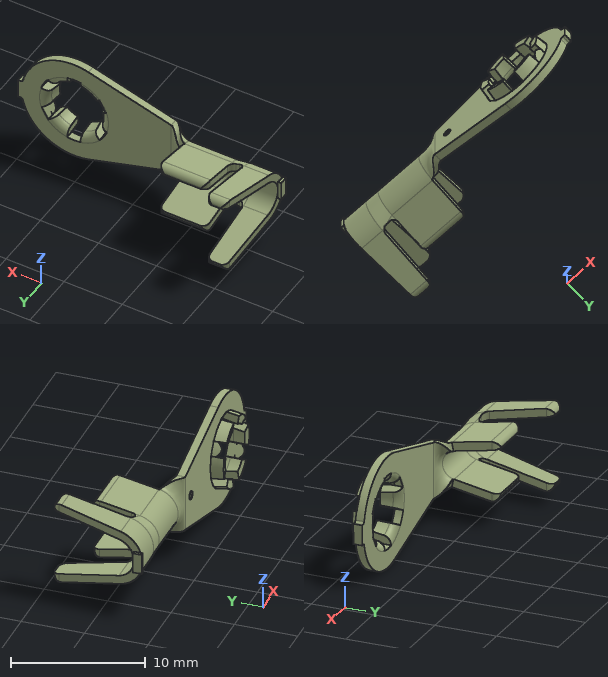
import cadquery as cq
import math


SHEET = 0.7
LENGTH = 22.67
INSULATION_START = 0.23
INSULATION_END = 2.55
BARREL_START = 3.76
BARREL_END = 7.87
PLATE_START = 9.5

RING_DIAMETER = 9.0
RING_RADIUS = RING_DIAMETER / 2
RING_X = 17.86
PLATE_START_HALF_WIDTH = 2.3
CARRIER_HALF_WIDTH = 0.82
CARRIER_ROOT_FILLET = 0.2
DIMPLE_X = 10.75
DIMPLE_RADIUS = 0.32
DIMPLE_DEPTH = 0.05

HOLE_RADIUS = 2.97
GAP_PAIRS = 3
TAB_DROP = 0.97
TAB_LEAN = math.radians(9)
TAB_GAP = 1.13
FULL_GAP_REACH = 3.4
SHORT_GAP_REACH = 2.85
SHORT_GAP_INDEX = 2

INSULATION_RADIUS = 2.31
INSULATION_LEAN = math.radians(12.5)
INSULATION_HEIGHT = 7.35
INSULATION_TAPER = 0.09
BARREL_RADIUS = 1.85
BARREL_LEAN = math.radians(10.7)
BARREL_HEIGHT = 5.28
WING_CORNER_RADIUS = 0.57
WING_TIP_RADIUS = 0.57

NECK_HEIGHT = 1.72
NECK_CORNER_RADIUS = 0.45

TRANSITION_STEPS = 6
TRANSITION_BEND = math.radians(78)


def crimp_section(x, radius, lean, height):
    """Open U of sheet thickness whose wing tips are rounded on the outside."""
    along = cq.Vector(math.cos(lean), math.sin(lean))
    outward = cq.Vector(-math.sin(lean), math.cos(lean))
    center = cq.Vector(radius, 0)
    outer_bend = center + outward * radius
    inner_bend = center + outward * (radius - SHEET)
    wing = (height - inner_bend.x) / along.x
    inner_tip = inner_bend + along * wing
    round_start = outer_bend + along * (wing - WING_TIP_RADIUS)
    round_center = round_start - outward * WING_TIP_RADIUS
    round_middle = round_center + (along + outward) * (WING_TIP_RADIUS * math.sqrt(0.5))
    round_end = round_center + along * WING_TIP_RADIUS

    def upper(point):
        return (point.x, point.y)

    def lower(point):
        return (point.x, -point.y)

    return (
        cq.Workplane("YZ", origin=(x, 0, 0))
        .moveTo(*upper(outer_bend))
        .lineTo(*upper(round_start))
        .threePointArc(upper(round_middle), upper(round_end))
        .lineTo(*upper(inner_tip))
        .lineTo(*upper(inner_bend))
        .threePointArc((SHEET, 0), lower(inner_bend))
        .lineTo(*lower(inner_tip))
        .lineTo(*lower(round_end))
        .threePointArc(lower(round_middle), lower(round_start))
        .lineTo(*lower(outer_bend))
        .threePointArc((0, 0), upper(outer_bend))
        .close()
    )


def insulation_section(x):
    return crimp_section(x, INSULATION_RADIUS, INSULATION_LEAN, INSULATION_HEIGHT)


def barrel_section(x):
    return crimp_section(x, BARREL_RADIUS, BARREL_LEAN, BARREL_HEIGHT)


def loft(sections):
    return cq.Workplane(cq.Solid.makeLoft([section.val() for section in sections]))


def side_envelope(points):
    """Prism across Z that limits a crimp in side elevation, top corners rounded."""
    return (
        cq.Workplane("XY")
        .polyline(points)
        .close()
        .extrude(RING_RADIUS, both=True)
        .edges("|Z and >Y")
        .fillet(WING_CORNER_RADIUS)
    )


def insulation_crimp():
    front_tip = INSULATION_START + INSULATION_TAPER * INSULATION_HEIGHT
    envelope = side_envelope(
        [
            (INSULATION_START, 0),
            (front_tip, INSULATION_HEIGHT),
            (INSULATION_END, INSULATION_HEIGHT),
            (INSULATION_END, 0),
        ]
    )
    trough = insulation_section(INSULATION_START).extrude(INSULATION_END - INSULATION_START)
    return trough.intersect(envelope)


def barrel_crimp():
    envelope = side_envelope(
        [(BARREL_START, 0), (BARREL_START, BARREL_HEIGHT), (BARREL_END, BARREL_HEIGHT), (BARREL_END, 0)]
    )
    return barrel_section(BARREL_START).extrude(BARREL_END - BARREL_START).intersect(envelope)


def neck():
    """Trough between the crimps, cut down to a round-cornered notch."""
    notch = (
        cq.Workplane("XY")
        .moveTo(INSULATION_END, NECK_HEIGHT)
        .lineTo(BARREL_START, NECK_HEIGHT)
        .lineTo(BARREL_START, INSULATION_HEIGHT)
        .lineTo(INSULATION_END, INSULATION_HEIGHT)
        .close()
        .extrude(RING_RADIUS, both=True)
        .edges("|Z and <Y")
        .fillet(NECK_CORNER_RADIUS)
    )
    trough = loft([insulation_section(INSULATION_END).wires(), barrel_section(BARREL_START).wires()])
    return trough.cut(notch)


def transition_section(fraction):
    """Sheet strip bent to an arc that opens out flat as fraction goes from 0 to 1."""
    x = BARREL_END + fraction * (PLATE_START - BARREL_END)
    blend = fraction * fraction * (3 - 2 * fraction)
    plane = cq.Workplane("YZ", origin=(x, 0, 0))
    if fraction == 1:
        half = PLATE_START_HALF_WIDTH
        return plane.polyline([(0, -half), (0, half), (SHEET, half), (SHEET, -half)]).close()
    bend = TRANSITION_BEND * (1 - blend)
    barrel_half_arc = BARREL_RADIUS * TRANSITION_BEND
    narrowing = fraction * (2 - fraction)
    half_arc = barrel_half_arc + narrowing * (PLATE_START_HALF_WIDTH - barrel_half_arc)
    outer = half_arc / bend
    inner = outer - SHEET

    def at(radius, angle):
        return (outer - radius * math.cos(angle), radius * math.sin(angle))

    return (
        plane.moveTo(*at(outer, -bend))
        .threePointArc((0, 0), at(outer, bend))
        .lineTo(*at(inner, bend))
        .threePointArc((SHEET, 0), at(inner, -bend))
        .close()
    )


def transition():
    return loft([transition_section(step / TRANSITION_STEPS).wires() for step in range(TRANSITION_STEPS + 1)])


def ring_plate():
    """Tapered plate tangent to the ring, with the cut carrier stub at its end."""
    reach = RING_X - PLATE_START
    corner_distance = math.hypot(reach, PLATE_START_HALF_WIDTH)
    tangent_angle = (
        math.pi
        - math.atan2(PLATE_START_HALF_WIDTH, reach)
        - math.acos(RING_RADIUS / corner_distance)
    )
    tangent_x = RING_X + RING_RADIUS * math.cos(tangent_angle)
    tangent_z = RING_RADIUS * math.sin(tangent_angle)
    stub_root = RING_X + math.sqrt(RING_RADIUS**2 - CARRIER_HALF_WIDTH**2)
    outline = (
        cq.Workplane("XZ")
        .moveTo(PLATE_START, -PLATE_START_HALF_WIDTH)
        .lineTo(tangent_x, -tangent_z)
        .threePointArc((RING_X, -RING_RADIUS), (stub_root, -CARRIER_HALF_WIDTH))
        .lineTo(LENGTH, -CARRIER_HALF_WIDTH)
        .lineTo(LENGTH, CARRIER_HALF_WIDTH)
        .lineTo(stub_root, CARRIER_HALF_WIDTH)
        .threePointArc((RING_X, RING_RADIUS), (tangent_x, tangent_z))
        .lineTo(PLATE_START, PLATE_START_HALF_WIDTH)
        .close()
    )
    stub_middle = (stub_root + LENGTH) / 2
    stub_roots = cq.selectors.BoxSelector((RING_X, 0, -RING_RADIUS), (stub_middle, SHEET, RING_RADIUS))
    plate = outline.extrude(-SHEET).edges("|Y").edges(stub_roots).fillet(CARRIER_ROOT_FILLET)
    hole = cq.Workplane("XZ").center(RING_X, 0).circle(HOLE_RADIUS).extrude(-SHEET)
    dimple = cq.Workplane("XZ").center(DIMPLE_X, 0).circle(DIMPLE_RADIUS).extrude(-DIMPLE_DEPTH)
    return plate.cut(hole).cut(dimple)


def tab_ring():
    """Collar bent out of the hole toward -Y and split into tabs by parallel gaps."""
    tip_radius = HOLE_RADIUS - TAB_DROP * math.tan(TAB_LEAN)
    inward_x = -SHEET * math.cos(TAB_LEAN)
    inward_y = SHEET * math.sin(TAB_LEAN)
    arc_angle = (math.pi / 2 - TAB_LEAN) / 2
    arc_middle = (HOLE_RADIUS - SHEET * math.sin(arc_angle), SHEET * math.cos(arc_angle))
    collar = (
        cq.Workplane("XY")
        .moveTo(HOLE_RADIUS, SHEET)
        .threePointArc(arc_middle, (HOLE_RADIUS + inward_x, inward_y))
        .lineTo(tip_radius + inward_x, inward_y - TAB_DROP)
        .lineTo(tip_radius, -TAB_DROP)
        .lineTo(HOLE_RADIUS, 0)
        .close()
        .revolve(360, (0, 0, 0), (0, 1, 0))
    )
    for index in range(GAP_PAIRS):
        reach = SHORT_GAP_REACH if index == SHORT_GAP_INDEX else FULL_GAP_REACH
        gap = cq.Workplane("XY").box(TAB_GAP, 2 * (SHEET + TAB_DROP), 2 * reach)
        collar = collar.cut(gap.rotate((0, 0, 0), (0, 1, 0), index * 180 / GAP_PAIRS))
    return collar.translate((RING_X, 0, 0))


def carrier_stub():
    """Cut end of the feed strip, reaching back to the slanted front of the crimp."""
    reach = INSULATION_START + INSULATION_TAPER * SHEET
    return cq.Workplane("XY").box(reach, SHEET, 2 * CARRIER_HALF_WIDTH, centered=(False, False, True))


result = (
    insulation_crimp()
    .union(neck())
    .union(barrel_crimp())
    .union(transition())
    .union(ring_plate())
    .union(tab_ring())
    .union(carrier_stub())
)